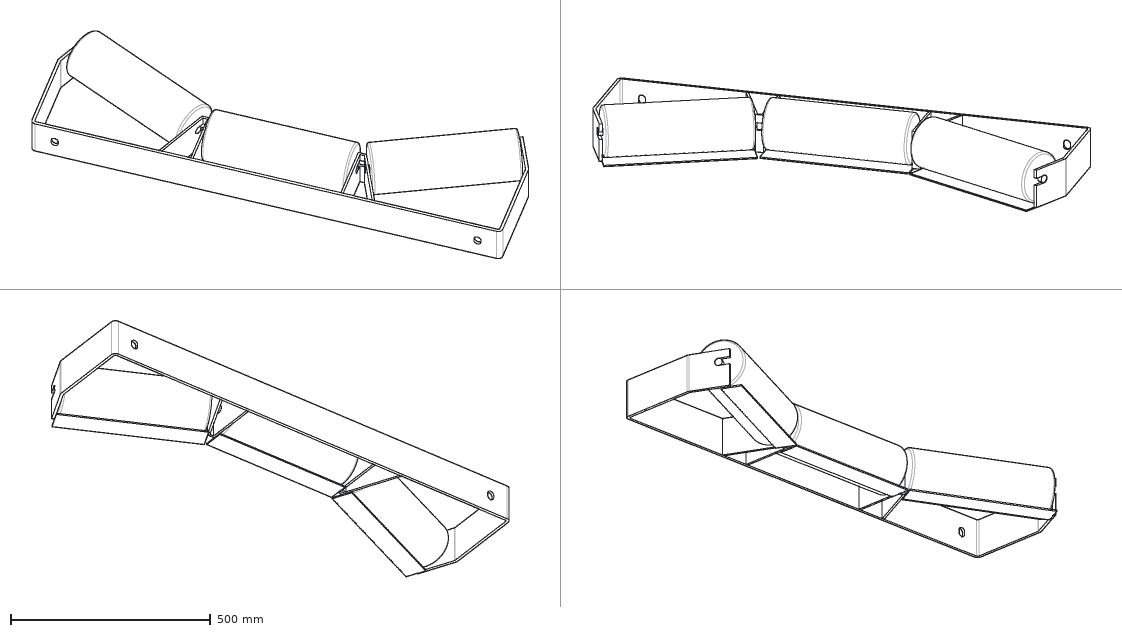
import cadquery as cq
import math


frame_length = 1240.0
overall_height = 139.0
frame_height = 100.0
frame_sheet = 8.0
bracket_sheet = 6.0
bend_radius = 12.0
arm_length = 112.0

hole_width = 19.0
hole_height = 25.0
hole_inset = 63.0

roller_diameter = 133.0
roller_length = 380.0
roller_rounding = 5.0
axle_diameter = 20.0
end_gap = 5.0
trough_angle = 25.0

middle_roller_y = 124.0
side_roller_x = 402.0
side_roller_y = 216.0
bracket_y = 153.0

guard_thickness = 4.0
guard_length = 390.0
guard_width = 56.0
guard_inset = 4.0

half_length = frame_length / 2
sine = math.sin(math.radians(trough_angle))
cosine = math.cos(math.radians(trough_angle))
miter = math.tan(math.radians(trough_angle / 2))

frame_bottom = guard_thickness
axle_z = overall_height - roller_diameter / 2
clear_half = roller_length / 2 + end_gap
axle_half = clear_half + bracket_sheet
arm_half = clear_half + frame_sheet

bend_y = side_roller_y + (arm_half - (half_length - side_roller_x) * cosine) / sine

stations = [
    (-side_roller_x, side_roller_y, -trough_angle),
    (0, middle_roller_y, 0),
    (side_roller_x, side_roller_y, trough_angle),
]


def place(body, station, z):
    """Move a body from the origin to a roller station."""
    x, y, tilt = station
    return body.rotate((0, 0, 0), (0, 0, 1), tilt).translate((x, y, z))


def make_axle_slots(station):
    """Slots through both carrying strips, rounded to seat the axle and open outward along local Y."""
    length = 2 * (arm_half + end_gap)
    seat = cq.Workplane("YZ", origin=(-length / 2, 0, 0)).circle(axle_diameter / 2).extrude(length)
    mouth = cq.Workplane("XY").box(length, roller_diameter, axle_diameter, centered=(True, False, True))
    return place(seat.union(mouth), station, axle_z)


def vertical_edge(x, y):
    """Select the frame's vertical edge at a corner of its outline."""
    reach = frame_sheet / 5
    return cq.selectors.BoxSelector(
        (x - reach, y - reach, frame_bottom),
        (x + reach, y + reach, frame_bottom + frame_height),
    )


def make_frame():
    tip_x = -half_length + arm_length * sine
    tip_y = bend_y + arm_length * cosine
    left_outer = [
        (tip_x, tip_y),
        (-half_length, bend_y),
        (-half_length, 0),
    ]
    left_inner = [
        (-half_length + frame_sheet, frame_sheet),
        (-half_length + frame_sheet, bend_y - frame_sheet * miter),
        (tip_x + frame_sheet * cosine, tip_y - frame_sheet * sine),
    ]
    right_outer = [(-x, y) for x, y in reversed(left_outer)]
    right_inner = [(-x, y) for x, y in reversed(left_inner)]
    frame = (
        cq.Workplane("XY", origin=(0, 0, frame_bottom))
        .polyline(left_outer + right_outer + right_inner + left_inner)
        .close()
        .extrude(frame_height)
    )
    for x, y in (left_outer[1], left_outer[2], right_outer[0], right_outer[1]):
        frame = frame.edges(vertical_edge(x, y)).fillet(bend_radius)
    for x, y in (left_inner[0], left_inner[1], right_inner[1], right_inner[2]):
        frame = frame.edges(vertical_edge(x, y)).fillet(bend_radius - frame_sheet)

    holes = (
        cq.Workplane("XZ", origin=(0, 0, frame_bottom + frame_height / 2))
        .pushPoints([(-half_length + hole_inset, 0), (half_length - hole_inset, 0)])
        .slot2D(hole_height, hole_width, 90)
        .extrude(-frame_sheet)
    )
    frame = frame.cut(holes)
    for station in stations:
        frame = frame.cut(make_axle_slots(station))
    return frame


def make_bracket(side):
    def slanted(offset, y):
        """Distance from X = 0, at a given Y, of a leg face this far from the roller's centre."""
        return side_roller_x - (offset - (side_roller_y - y) * sine) / cosine

    base_y = frame_sheet
    web_y = bracket_y - bracket_sheet
    outline = [
        (slanted(clear_half, base_y), base_y),
        (slanted(clear_half, bracket_y), bracket_y),
        (clear_half, bracket_y),
        (clear_half, base_y),
        (axle_half, base_y),
        (axle_half, web_y),
        (slanted(axle_half, web_y), web_y),
        (slanted(axle_half, base_y), base_y),
    ]
    bracket = (
        cq.Workplane("XY", origin=(0, 0, frame_bottom))
        .polyline([(side * x, y) for x, y in outline])
        .close()
        .extrude(frame_height)
    )
    for station in stations:
        bracket = bracket.cut(make_axle_slots(station))
    return bracket


def make_roller(station):
    shell = (
        cq.Workplane("YZ", origin=(-roller_length / 2, 0, 0))
        .circle(roller_diameter / 2)
        .extrude(roller_length)
        .faces("<X or >X")
        .edges()
        .fillet(roller_rounding)
    )
    axle = (
        cq.Workplane("YZ", origin=(-axle_half, 0, 0))
        .circle(axle_diameter / 2)
        .extrude(2 * axle_half)
    )
    return place(shell.union(axle), station, axle_z)


def make_guard(station):
    guard = (
        cq.Workplane("XY")
        .box(guard_length, guard_width, guard_thickness, centered=(True, False, False))
        .translate((0, guard_inset, 0))
    )
    return place(guard, station, 0)


frame = make_frame()
brackets = [make_bracket(side) for side in (-1, 1)]
rollers = [make_roller(station) for station in stations]
guards = [make_guard(station) for station in stations]

result = cq.Compound.makeCompound([body.val() for body in [frame, *brackets, *rollers, *guards]])